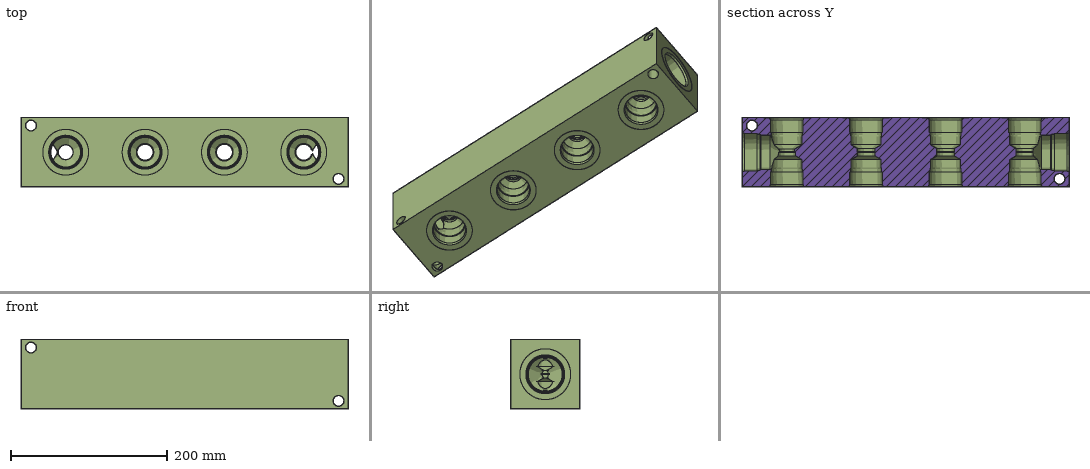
import cadquery as cq
import math

LENGTH = 419.1
SIDE = 88.9

CROSS_PORT_COUNT = 4
CROSS_PORT_PITCH = 101.6
CROSS_SPOTFACE_DIAMETER = 58.57
CROSS_MOUTH_DIAMETER = 43.51
CROSS_THREAD_DIAMETER = 41.27
CROSS_STEP_DIAMETER = 39.22
CROSS_DRILL_DIAMETER = 38.1
CROSS_DRILL_DEPTH = 34.85

FIRST_UPPER_PASSAGE_DIAMETER = 19.05
PASSAGE_DIAMETER = 22.4
PASSAGE_SHOULDER_GAP = 0.6

END_SPOTFACE_DIAMETER = 65.13
END_MOUTH_DIAMETER = 49.8
END_THREAD_DIAMETER = 47.62
END_STEP_DIAMETER = 45.57
END_DRILL_DIAMETER = 43.51
END_DRILL_DEPTH = 36.0

SPOTFACE_DEPTH = 0.5
MOUTH_TAPER_DEPTH = 3.3
THREAD_DEPTH = 19.0
STEP_DEPTH = 22.7
STEP_TAPER_DEPTH = 24.5
DRILL_POINT_ANGLE = 118.0

MOUNTING_HOLE_DIAMETER = 13.49
MOUNTING_HOLE_END_INSET = 12.7
MOUNTING_HOLE_EDGE_INSET = 10.3


def drill_point_length(radius):
    """Axial length of the conical point of a drill."""
    return radius / math.tan(math.radians(DRILL_POINT_ANGLE / 2))


def port_cutter(
    spotface_diameter, mouth_diameter, thread_diameter, step_diameter, drill_diameter, drill_depth
):
    """Port cavity with its mouth centred on the origin, running down the -Z axis."""
    drill_radius = drill_diameter / 2
    return (
        cq.Workplane("XZ")
        .moveTo(0, 0)
        .lineTo(spotface_diameter / 2, 0)
        .lineTo(spotface_diameter / 2, -SPOTFACE_DEPTH)
        .lineTo(mouth_diameter / 2, -SPOTFACE_DEPTH)
        .lineTo(thread_diameter / 2, -MOUTH_TAPER_DEPTH)
        .lineTo(thread_diameter / 2, -THREAD_DEPTH)
        .lineTo(step_diameter / 2, -THREAD_DEPTH)
        .lineTo(step_diameter / 2, -STEP_DEPTH)
        .lineTo(drill_radius, -STEP_TAPER_DEPTH)
        .lineTo(drill_radius, -drill_depth)
        .lineTo(0, -drill_depth - drill_point_length(drill_radius))
        .close()
        .revolve(360, (0, 0, 0), (0, 1, 0))
    )


def passage_cutter(diameter):
    """Pointed drill on the Z axis, from the end of a top port down past the mid-plane."""
    radius = diameter / 2
    port_drill_end = SIDE / 2 - CROSS_DRILL_DEPTH
    return (
        cq.Workplane("XZ")
        .moveTo(0, port_drill_end)
        .lineTo(radius, port_drill_end)
        .lineTo(radius, PASSAGE_SHOULDER_GAP)
        .lineTo(0, PASSAGE_SHOULDER_GAP - drill_point_length(radius))
        .close()
        .revolve(360, (0, 0, 0), (0, 1, 0))
    )


def cut_cross_ports(block):
    """Cut a row of facing port pairs and the passages that join them."""
    cutter = port_cutter(
        CROSS_SPOTFACE_DIAMETER,
        CROSS_MOUTH_DIAMETER,
        CROSS_THREAD_DIAMETER,
        CROSS_STEP_DIAMETER,
        CROSS_DRILL_DIAMETER,
        CROSS_DRILL_DEPTH,
    )
    first_x = -CROSS_PORT_PITCH * (CROSS_PORT_COUNT - 1) / 2
    for index in range(CROSS_PORT_COUNT):
        x = first_x + index * CROSS_PORT_PITCH
        top_cutter = cutter.translate((x, 0, SIDE / 2))
        bottom_cutter = top_cutter.mirror("XY")
        block = block.cut(top_cutter).cut(bottom_cutter)

        upper_diameter = FIRST_UPPER_PASSAGE_DIAMETER if index == 0 else PASSAGE_DIAMETER
        upper_passage = passage_cutter(upper_diameter).translate((x, 0, 0))
        lower_passage = passage_cutter(PASSAGE_DIAMETER).mirror("XY").translate((x, 0, 0))
        block = block.cut(upper_passage).cut(lower_passage)
    return block


def cut_end_ports(block):
    """Cut one port into each end face, breaking into the outermost cross ports."""
    cutter = port_cutter(
        END_SPOTFACE_DIAMETER,
        END_MOUTH_DIAMETER,
        END_THREAD_DIAMETER,
        END_STEP_DIAMETER,
        END_DRILL_DIAMETER,
        END_DRILL_DEPTH,
    )
    right_cutter = cutter.rotate((0, 0, 0), (0, 1, 0), 90).translate((LENGTH / 2, 0, 0))
    left_cutter = right_cutter.mirror("YZ")
    return block.cut(right_cutter).cut(left_cutter)


def cut_mounting_holes(block):
    """Drill two diagonally opposite holes along Y and two along Z."""
    hole_x = LENGTH / 2 - MOUNTING_HOLE_END_INSET
    hole_edge = SIDE / 2 - MOUNTING_HOLE_EDGE_INSET
    for plane in ("XY", "XZ"):
        holes = (
            cq.Workplane(plane)
            .pushPoints([(-hole_x, hole_edge), (hole_x, -hole_edge)])
            .circle(MOUNTING_HOLE_DIAMETER / 2)
            .extrude(SIDE / 2, both=True)
        )
        block = block.cut(holes)
    return block


result = cq.Workplane("XY").box(LENGTH, SIDE, SIDE)
result = cut_cross_ports(result)
result = cut_end_ports(result)
result = cut_mounting_holes(result)